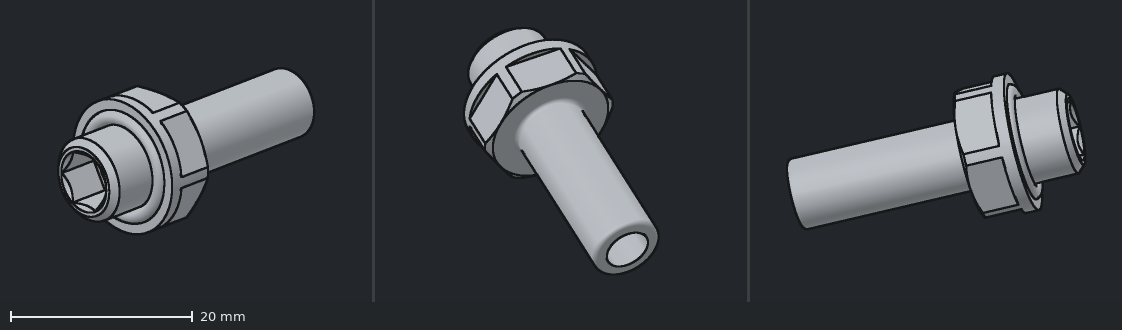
import cadquery as cq
import math

total_length = 32.0
flange_front = 6.0
flange_thickness = 1.47
hex_back = 12.0
flange_back = flange_front + flange_thickness

stud_radius = 4.8
stud_chamfer = 0.8
key_across_flats = 6.0
key_depth = 5.0
key_mouth_radius = 3.52
key_mouth_angle = 45.0

flange_radius = 7.75
hex_across_flats = 14.0
hex_chamfer_angle = 30.0

tube_radius = 4.0
tube_end_fillet = 0.5
tube_base_fillet = 0.5
bore_radius = 2.5

ring_outer_radius = 6.53
ring_protrusion = 0.65
ring_thickness = ring_outer_radius - stud_radius
groove_depth = ring_thickness - ring_protrusion


def cylinder(radius, start, end):
    """Cylinder on the Y axis between two lengthwise positions."""
    return cq.Workplane("XZ", origin=(0, start, 0)).circle(radius).extrude(start - end)


def hexagon(across_flats, start, end):
    """Hexagonal prism on the Y axis, with flats facing up and down and corners on X."""
    corner_diameter = across_flats / math.cos(math.radians(30))
    return cq.Workplane("XZ", origin=(0, start, 0)).polygon(6, corner_diameter).extrude(start - end)


def revolve_around_y(outline):
    """Turn an outline drawn in the XY plane around the Y axis."""
    return outline.revolve(360, (0, 0, 0), (0, 1, 0))


def make_spanner_hexagon():
    """Round collar with six flats and a conical chamfer on its back corners."""
    flat_radius = hex_across_flats / 2
    chamfer_length = (flange_radius - flat_radius) * math.tan(math.radians(hex_chamfer_angle))
    collar = revolve_around_y(
        cq.Workplane("XY")
        .moveTo(0, flange_back)
        .lineTo(flange_radius, flange_back)
        .lineTo(flange_radius, hex_back - chamfer_length)
        .lineTo(flat_radius, hex_back)
        .lineTo(0, hex_back)
        .close()
    )
    return collar.intersect(hexagon(hex_across_flats, flange_back, hex_back))


def make_tube():
    """Tube with a rounded end and a concave fillet where it leaves the hexagon."""
    arc_offset = math.sqrt(0.5)
    base_arc_middle = (
        tube_radius + tube_base_fillet * (1 - arc_offset),
        hex_back + tube_base_fillet * (1 - arc_offset),
    )
    end_arc_middle = (
        tube_radius - tube_end_fillet * (1 - arc_offset),
        total_length - tube_end_fillet * (1 - arc_offset),
    )
    return revolve_around_y(
        cq.Workplane("XY")
        .moveTo(0, hex_back)
        .lineTo(tube_radius + tube_base_fillet, hex_back)
        .threePointArc(base_arc_middle, (tube_radius, hex_back + tube_base_fillet))
        .lineTo(tube_radius, total_length - tube_end_fillet)
        .threePointArc(end_arc_middle, (tube_radius - tube_end_fillet, total_length))
        .lineTo(0, total_length)
        .close()
    )


def make_key_mouth():
    """Cone that breaks the edges of the hexagon key at the stud's open end."""
    cone_depth = key_mouth_radius * math.tan(math.radians(key_mouth_angle))
    return revolve_around_y(
        cq.Workplane("XY").polyline([(0, 0), (key_mouth_radius, 0), (0, cone_depth)]).close()
    )


def make_ring_groove():
    """Square groove in the flange's front face, right around the stud."""
    groove_bottom = flange_front + groove_depth
    outer = cylinder(ring_outer_radius, flange_front, groove_bottom)
    return outer.cut(cylinder(stud_radius, flange_front, groove_bottom))


def make_fitting():
    """Stud, flange, spanner hexagon and tube in one piece, bored from end to end."""
    stud = cylinder(stud_radius, 0, flange_front).faces("<Y").chamfer(stud_chamfer)
    flange = cylinder(flange_radius, flange_front, flange_back)
    fitting = stud.union(flange).union(make_spanner_hexagon()).union(make_tube())
    fitting = fitting.cut(cylinder(bore_radius, 0, total_length))
    fitting = fitting.cut(hexagon(key_across_flats, 0, key_depth))
    return fitting.cut(make_key_mouth()).cut(make_ring_groove())


def make_sealing_ring():
    """Round-section ring resting on the groove bottom and standing proud of the flange."""
    section_radius = ring_thickness / 2
    return revolve_around_y(
        cq.Workplane("XY")
        .moveTo(stud_radius + section_radius, flange_front - ring_protrusion + section_radius)
        .circle(section_radius)
    )


fitting = make_fitting()
sealing_ring = make_sealing_ring()
result = cq.Compound.makeCompound([fitting.val(), sealing_ring.val()])